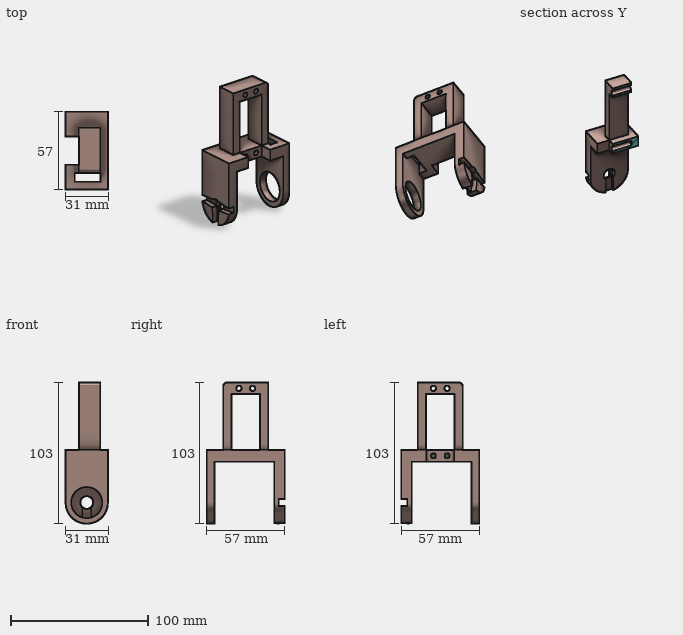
import cadquery as cq

width = 31.0
depth = 57.0
height = 103.0

shoulder_z = 53.9
bridge_bottom_z = 45.1
front_leg = 5.9
back_leg = 7.7
leg_radius = width / 2
axis_z = leg_radius
front_bore = 22.7
back_bore = 9.2

frame_left = -5.8
frame_right = 9.9
frame_front = 12.0
frame_back = 45.0
frame_round = 2.9
window_front = 18.2
window_back = 38.7
window_top = 94.6

opening_left = -8.7

screw_diameter = 3.7
screw_spacing = 10.0
screw_y = (window_front + window_back) / 2
screw_heights = (49.5, 98.7)

arm_hub_width = 7.0
arm_end_width = 4.9
stem_hub_width = 7.6
stem_end_width = 6.0
groove_depth = 4.3
key_width = 6.3
key_depth = 2.2


def block(x0, x1, y0, y1, z0, z1):
    """Axis-aligned box between two opposite corners."""
    return cq.Workplane("XY").box(x1 - x0, y1 - y0, z1 - z0, centered=False).translate((x0, y0, z0))


def cylinder_y(diameter, y0, y1):
    """Cylinder on the fork axis, running along Y."""
    start = cq.Workplane("XZ", origin=(0, y0, axis_z))
    return start.circle(diameter / 2).extrude(y0 - y1)


def leg(y0, y1, bore):
    """Round-ended leg with a bore on the fork axis."""
    plate = block(-width / 2, width / 2, y0, y1, axis_z, shoulder_z)
    return plate.union(cylinder_y(width, y0, y1)).cut(cylinder_y(bore, y0, y1))


def make_fork():
    bridge = block(-width / 2, width / 2, 0, depth, bridge_bottom_z, shoulder_z)
    bridge = bridge.cut(block(-width / 2, frame_left, window_front, window_back, 0, height))
    bridge = bridge.cut(block(opening_left, frame_right, front_leg, frame_front, 0, height))
    return bridge.union(leg(0, front_leg, front_bore)).union(leg(depth - back_leg, depth, back_bore))


def make_frame():
    frame = block(frame_left, frame_right, frame_front, frame_back, bridge_bottom_z, height)
    frame = frame.edges("|X and >Z and <Y").fillet(frame_round)
    return frame.cut(block(frame_left, frame_right, window_front, window_back, shoulder_z, window_top))


def cut_screw_holes(body):
    for z in screw_heights:
        for side in (-1, 1):
            start = cq.Workplane("YZ", origin=(frame_left, screw_y + side * screw_spacing / 2, z))
            body = body.cut(start.circle(screw_diameter / 2).extrude(frame_right - frame_left))
    return body


def tapered_arm(hub_width, end_width, turn):
    """Groove cutter narrowing from the fork axis to the leg edge, at an angle from straight down."""
    outline = [
        (-hub_width / 2, 0),
        (hub_width / 2, 0),
        (end_width / 2, -leg_radius),
        (-end_width / 2, -leg_radius),
    ]
    start = cq.Workplane("XZ", origin=(0, depth, axis_z))
    return start.transformed(rotate=(0, 0, turn)).polyline(outline).close().extrude(groove_depth)


def cut_back_leg_grooves(body):
    """T-shaped groove on the outer face and a keyway below the bore on the inner face."""
    for turn in (-90, 90):
        body = body.cut(tapered_arm(arm_hub_width, arm_end_width, turn))
    body = body.cut(tapered_arm(stem_hub_width, stem_end_width, 0))
    inner_y = depth - back_leg
    half_key = key_width / 2
    return body.cut(block(-half_key, half_key, inner_y, inner_y + key_depth, 0, axis_z))


result = cut_back_leg_grooves(cut_screw_holes(make_fork().union(make_frame())))